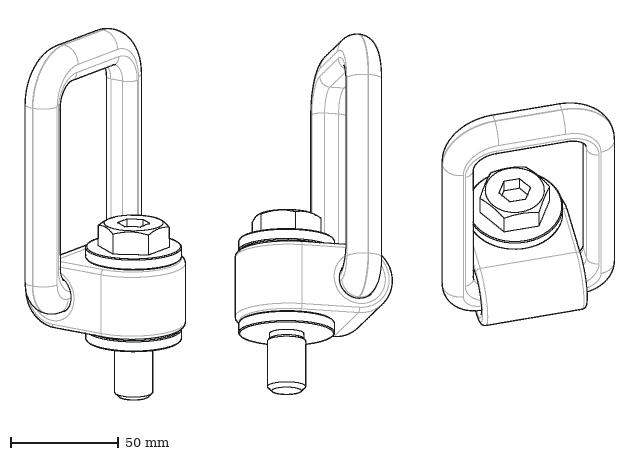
import cadquery as cq
import math


housing_width = 50.0
nose_radius = housing_width / 2
nose_center_x = -1.0
pivot_x = -28.7
pivot_radius = 16.2
housing_height = 2 * pivot_radius
housing_top = pivot_radius
housing_fillet = 2.0
ring_hole_diameter = 18.3
ring_hole_lip = 3.2

journal_diameter = 34.0
journal_play = 0.8
collar_diameter = 44.8
collar_thickness = 5.4
collar_chamfer = 0.5
head_flats = 28.9
head_height = 11.3
head_crown_diameter = 27.5
head_chamfer_angle = 30
socket_flats = 13.0
socket_depth = 6.8
neck_diameter = 16.0
shank_diameter = 18.0
neck_length = 2.5
neck_step = 1.0
bolt_bottom = -50.0
tip_chamfer = 2.0
overall_height = 169

journal_top = housing_top + journal_play
journal_bottom = -journal_top
head_bottom = journal_top + collar_thickness
head_top = head_bottom + head_height
washer_bottom = journal_bottom - collar_thickness

ring_thickness = 16.5
ring_top = bolt_bottom + overall_height
ring_play = 0.2
ring_bottom = ring_play - ring_hole_diameter / 2
ring_width = 82.0
ring_top_radius = 25.0
ring_bottom_radius = 16.9
window_top = 102.3
window_bottom = 6.6
window_width = 54.1
window_top_radius = 10.0
window_bottom_radius = 8.5
ring_rim_flat = 0.3
ring_outer_fillet = (ring_thickness - ring_rim_flat) / 2
ring_inner_fillet = 4.9
edge_margin = 0.2


def make_housing():
    """Block with a round nose at the bolt and a round barrel around the ring hole."""
    nose_end = nose_center_x + nose_radius
    side = (
        cq.Workplane("XZ")
        .moveTo(nose_end, -pivot_radius)
        .lineTo(pivot_x, -pivot_radius)
        .threePointArc((pivot_x - pivot_radius, 0), (pivot_x, pivot_radius))
        .lineTo(nose_end, pivot_radius)
        .close()
        .extrude(housing_width / 2, both=True)
    )
    barrel_end = pivot_x - pivot_radius
    plan = (
        cq.Workplane("XY")
        .moveTo(barrel_end, -nose_radius)
        .lineTo(nose_center_x, -nose_radius)
        .threePointArc((nose_end, 0), (nose_center_x, nose_radius))
        .lineTo(barrel_end, nose_radius)
        .close()
        .extrude(housing_height / 2, both=True)
    )
    body = side.intersect(plan)
    body = body.faces("<Y or >Y").edges().edges("not |Z").fillet(housing_fillet)

    bore = (
        cq.Workplane("XZ")
        .center(pivot_x, 0)
        .circle(ring_hole_diameter / 2)
        .extrude(housing_width, both=True)
    )
    body = body.cut(bore)
    hole_rims = cq.selectors.RadiusNthSelector(0)
    body = body.faces("<Y or >Y").edges("%CIRCLE").edges(hole_rims).fillet(ring_hole_lip)

    journal_hole = (
        cq.Workplane("XY").circle(journal_diameter / 2).extrude(housing_height, both=True)
    )
    return body.cut(journal_hole)


def make_collar(bottom):
    """Flat disc with both rims chamfered."""
    return (
        cq.Workplane("XY", origin=(0, 0, bottom))
        .circle(collar_diameter / 2)
        .extrude(collar_thickness)
        .edges()
        .chamfer(collar_chamfer)
    )


def hexagon_prism(flats, bottom, height):
    """Hexagonal prism about the bolt axis, with corners on the Y axis."""
    corners = flats / math.cos(math.radians(30))
    return (
        cq.Workplane("XY", origin=(0, 0, bottom))
        .transformed(rotate=(0, 0, 90))
        .polygon(6, corners)
        .extrude(height)
    )


def make_head():
    """Hexagon head with cone-cut corners and a hexagon socket."""
    head = hexagon_prism(head_flats, head_bottom, head_height)
    slope = math.tan(math.radians(head_chamfer_angle))
    crown_radius = head_crown_diameter / 2
    cone_radius = crown_radius + head_height / slope
    crown_cone = (
        cq.Workplane("XZ")
        .moveTo(0, head_bottom)
        .lineTo(cone_radius, head_bottom)
        .lineTo(crown_radius, head_top)
        .lineTo(0, head_top)
        .close()
        .revolve(360, (0, 0), (0, 1))
    )
    socket = hexagon_prism(socket_flats, head_top - socket_depth, socket_depth)
    return head.intersect(crown_cone).cut(socket)


def make_bolt():
    """Hexagon bolt with a collar, a wide bearing journal, a neck and a shank."""
    journal_radius = journal_diameter / 2
    neck_radius = neck_diameter / 2
    shank_radius = shank_diameter / 2
    neck_bottom = washer_bottom - neck_length
    shank_top = neck_bottom - neck_step
    stem = (
        cq.Workplane("XZ")
        .moveTo(0, head_bottom)
        .lineTo(journal_radius, head_bottom)
        .lineTo(journal_radius, journal_bottom)
        .lineTo(neck_radius, journal_bottom)
        .lineTo(neck_radius, neck_bottom)
        .lineTo(shank_radius, shank_top)
        .lineTo(shank_radius, bolt_bottom + tip_chamfer)
        .lineTo(shank_radius - tip_chamfer, bolt_bottom)
        .lineTo(0, bolt_bottom)
        .close()
        .revolve(360, (0, 0), (0, 1))
    )
    return stem.union(make_collar(journal_top)).union(make_head())


def make_washer():
    """Retaining washer around the bolt neck, against the journal shoulder."""
    bore = (
        cq.Workplane("XY", origin=(0, 0, washer_bottom))
        .circle(neck_diameter / 2)
        .extrude(collar_thickness)
    )
    return make_collar(washer_bottom).cut(bore)


def rounded_plate(width, bottom, top, bottom_radius, top_radius):
    """Upright plate in the ring plane, with separate corner radii at its bottom and top."""
    return (
        cq.Workplane("YZ", origin=(pivot_x, 0, (bottom + top) / 2))
        .rect(width, top - bottom)
        .extrude(ring_thickness / 2, both=True)
        .edges("|X and <Z")
        .fillet(bottom_radius)
        .edges("|X and >Z")
        .fillet(top_radius)
    )


def make_ring():
    """Closed lifting ring, almost fully rounded outside and less rounded at its window."""
    plate = rounded_plate(
        ring_width, ring_bottom, ring_top, ring_bottom_radius, ring_top_radius
    )
    plate = plate.faces("<X or >X").edges().fillet(ring_outer_fillet)
    window = rounded_plate(
        window_width, window_bottom, window_top, window_bottom_radius, window_top_radius
    )
    frame = plate.cut(window)
    half_window = window_width / 2 + edge_margin
    window_edges = cq.selectors.BoxSelector(
        (pivot_x - ring_thickness, -half_window, window_bottom - edge_margin),
        (pivot_x + ring_thickness, half_window, window_top + edge_margin),
        boundingbox=True,
    )
    return frame.faces("<X or >X").edges(window_edges).fillet(ring_inner_fillet)


housing = make_housing()
bolt = make_bolt()
washer = make_washer()
ring = make_ring()

result = cq.Compound.makeCompound([housing.val(), bolt.val(), washer.val(), ring.val()])